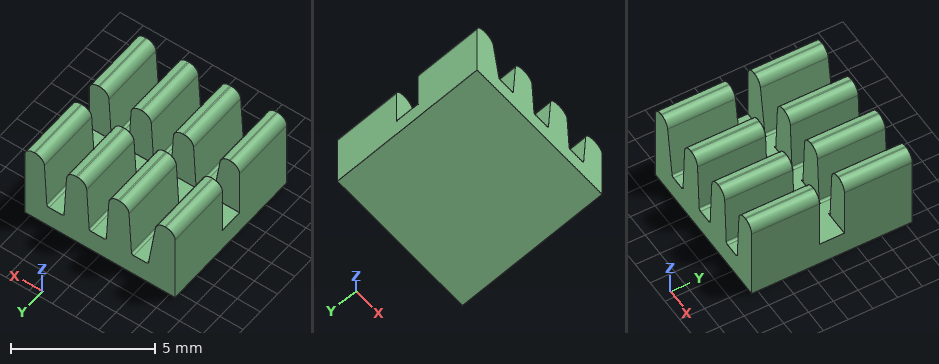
import cadquery as cq
import math

width = 6.5
depth = 6.5
height = 3.5
base_thickness = 1.0

channel_count = 3
channel_pitch = 1.825
fin_foot_width = 1.09
last_fin_foot_width = 0.97
side_draft = 3.0
first_fin_draft = 8.2
first_fin_foot_width = 1.16
tip_radius = 0.41
root_radius = 0.1

cross_gap_width = 1.0

fin_height = height - base_thickness
last_channel_right = width / 2 - last_fin_foot_width
channel_floor_width = channel_pitch - fin_foot_width


def draft_run(angle):
    """Sideways shift of a drafted wall between fin foot and tip."""
    return fin_height * math.tan(math.radians(angle))


def make_channel(floor_left, floor_right, left_draft):
    """Tapered channel with rounded root corners, as deep as the fins are tall."""
    profile = [
        (floor_left, base_thickness),
        (floor_right, base_thickness),
        (floor_right + draft_run(side_draft), height),
        (floor_left - draft_run(left_draft), height),
    ]
    channel = cq.Workplane("XZ").polyline(profile).close().extrude(depth / 2, both=True)
    return channel.faces("<Z").edges("|Y").fillet(root_radius)


body = cq.Workplane("XY").box(width, depth, height, centered=(True, True, False))

for index in range(channel_count):
    floor_right = last_channel_right - (channel_count - 1 - index) * channel_pitch
    if index == 0:
        floor_left = -width / 2 + first_fin_foot_width
        left_draft = first_fin_draft
    else:
        floor_left = floor_right - channel_floor_width
        left_draft = side_draft
    body = body.cut(make_channel(floor_left, floor_right, left_draft))

body = body.faces(">Z").edges("|Y").fillet(tip_radius)

cross_gap = (
    cq.Workplane("XY", origin=(0, 0, base_thickness))
    .box(width, cross_gap_width, fin_height, centered=(True, True, False))
)
result = body.cut(cross_gap)